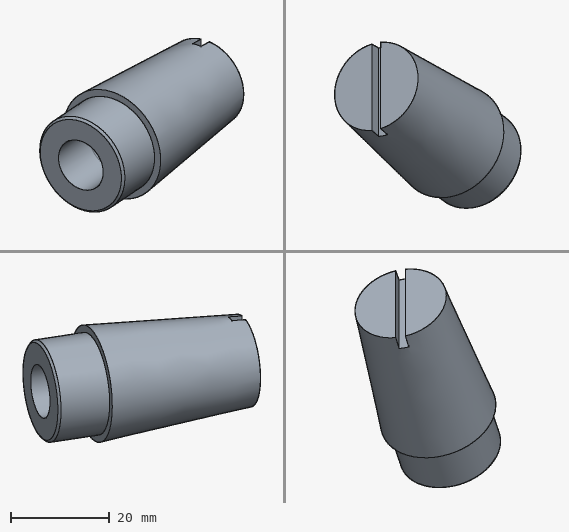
import cadquery as cq

total_length = 44.0
spigot_diameter = 21.0
spigot_length = 11.0
spigot_chamfer = 0.5
shoulder_diameter = 24.0
tip_diameter = 19.0

bore_mouth_diameter = 11.0
bore_floor_diameter = 8.0
bore_straight_length = spigot_length
bore_taper_length = 26.0

slot_width = 2.0
slot_depth = 3.0


def revolve_about_y(points):
    """Turn a closed profile of (Y position, radius) points about the Y axis."""
    return cq.Workplane("YZ").polyline(points).close().revolve(360, (0, 0, 0), (1, 0, 0))


def make_body():
    """Chamfered spigot followed by the barrel tapering to the tip."""
    spigot_radius = spigot_diameter / 2
    return revolve_about_y([
        (0, 0),
        (0, spigot_radius - spigot_chamfer),
        (spigot_chamfer, spigot_radius),
        (spigot_length, spigot_radius),
        (spigot_length, shoulder_diameter / 2),
        (total_length, tip_diameter / 2),
        (total_length, 0),
    ])


def make_bore():
    """Straight mouth followed by a taper down to a flat floor."""
    mouth_radius = bore_mouth_diameter / 2
    bore_depth = bore_straight_length + bore_taper_length
    return revolve_about_y([
        (0, 0),
        (0, mouth_radius),
        (bore_straight_length, mouth_radius),
        (bore_depth, bore_floor_diameter / 2),
        (bore_depth, 0),
    ])


def make_slot():
    """Straight slot across the tip, running through along Z."""
    slot = cq.Workplane("XY").box(slot_width, slot_depth, shoulder_diameter)
    return slot.translate((0, total_length - slot_depth / 2, 0))


result = make_body().cut(make_bore()).cut(make_slot())